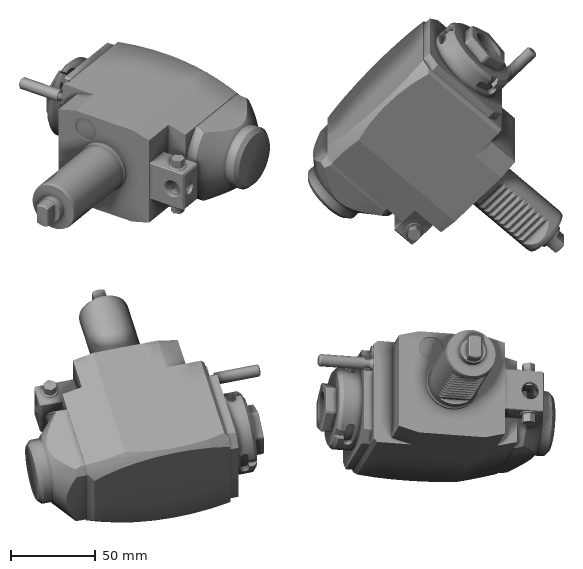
import cadquery as cq
import math


TOTAL_LENGTH = 152

HEIGHT = 64.0
HALF_HEIGHT = HEIGHT / 2
FRONT_X = -42.9
REAR_X = 44.0
BACK_Y = 30.0
SHOULDER_Y = -33.7
FLANGE_Y = -55.0
FLANGE_HALF_WIDTH = 32.0
BEVEL_ANGLE = 15
BEVEL_START_X = 19.9
FRONT_CHAMFER = 2.1
REAR_CHAMFER = 3.6
CROWN_RADIUS = 42.4
CROWN_CENTRE_X = -10.3
CROWN_ARC_RADIUS = 179.4
RECESS_X = -12.6
RECESS_Z = 21.6
RECESS_RADIUS = 7.5
RECESS_DEPTH = 0.9

CAP_RADIUS = 33.3
CAP_TOP_Y = BACK_Y - REAR_CHAMFER
CAP_STEP_X = 46.2
CAP_CONE_X = 50.2
CAP_CONE_END_X = 61.7
NOSE_START_X = 63.0
NOSE_RADIUS = 19.3
NOSE_END_X = 71.0
NOSE_CHAMFER = 2.5

PLATE_FRONT_X = -48.0
PLATE_HALF = 29.5
PLATE_CHAMFER = 6.7
NOTCH_Y = -23.7
NOTCH_Z = 14.1
NOTCH_FILLET = 4.5
NUT_FRONT_X = -61.3
NUT_RADIUS = 24.5
NUT_CHAMFER = 2.1
SLOT_X = -53.2
SLOT_WIDTH = 5.5
SLOT_LENGTH = 16.1
SLOT_FLOOR_RADIUS = 21.0
KEYWAY_WIDTH = 6.0
KEYWAY_FLOOR_RADIUS = 21.3
KEYWAY_ANGLES = (0, 120, 240)
HEX_FRONT_X = -67.6
HEX_ACROSS_FLATS = 26.8
HEX_CORNER_RADIUS = 15.0
HEX_CHAMFER = 0.3
BORE_RADIUS = 9.3
BORE_DEPTH = 5.8
BORE_CHAMFER = 0.3

PIN_Y = -28.5
PIN_Z = 19.0
PIN_RADIUS = 3.6
PIN_TIP_X = -75.4
PIN_CHAMFER = 0.9
PIN_BACK_X = -48.0
PIN_NECK_RADIUS = 2.5
PIN_NECK_END_X = -44.4
SCREW_Z = 26.1
SCREW_RADIUS = 4.0
SCREW_FRONT_X = -43.6
SCREW_SOCKET_RADIUS = 1.4

COLLAR_RADIUS = 16.0
COLLAR_LENGTH = 1.4
COLLAR_TAPER_END = 2.1
SHANK_RADIUS = 15.0
SHANK_LENGTH = 55.0
SHANK_CHAMFER_LENGTH = 1.8
SHANK_CHAMFER_DEPTH = 0.5
STUB_RADIUS = 7.6
STUB_LENGTH = 4.5
TIP_Y = BACK_Y - TOTAL_LENGTH
TANG_RADIUS = 7.1
TANG_THICKNESS = 7.9
TANG_CHAMFER = 0.6
TANG_FILLET = 0.8

TOOTH_PITCH = 4.0
TOOTH_COUNT = 10
TOOTH_DEPTH = 1.7
TOOTH_FLAT = 0.8
TOOTH_TIP_Z = -12.2
FIRST_VALLEY = 11.2
SERRATION_START = 6.8

BLOCK_END_X = 56.2
BLOCK_HALF_HEIGHT = 12.6
BLOCK_TOP_Y = -38.8
BLOCK_BOTTOM_Y = -54.1
BLOCK_END_CHAMFER = 0.9
BLOCK_EDGE_CHAMFER = 0.5
PORT_X = 48.0
PORT_RADIUS = 5.2
PORT_CHAMFER = 0.5
CROSS_BORE_RADIUS = 3.8
BOLT_TIP_Z = 4.4
BOLT_Y = -48.2
BOLT_WASHER_RADIUS = 5.2
BOLT_WASHER_THICKNESS = 0.8
BOLT_WASHER_CHAMFER = 0.5
BOLT_ACROSS_FLATS = 7.1
BOLT_CORNER_RADIUS = 4.0
BOLT_END_Z = 18.4

OVERLAP = 1.5
BIG = 152


def bevel_z(x):
    """Half height of the bevelled faces at x."""
    return HALF_HEIGHT - (x - BEVEL_START_X) * math.tan(math.radians(BEVEL_ANGLE))


def box(x_range, y_range, z_range):
    sizes = [high - low for low, high in (x_range, y_range, z_range)]
    corner = (x_range[0], y_range[0], z_range[0])
    return cq.Workplane("XY").box(*sizes, centered=False).translate(corner)


def rod_x(radius, start, end, y=0, z=0):
    return cq.Workplane("YZ", origin=(start, y, z)).circle(radius).extrude(end - start)


def turned_x(points, y=0, z=0):
    """Solid turned about an axis along X from (x, radius) points."""
    outline = [(points[0][0], 0)] + points + [(points[-1][0], 0)]
    turned = cq.Workplane("XY").polyline(outline).close().revolve(360, (0, 0, 0), (1, 0, 0))
    return turned.translate((0, y, z))


def extruded_y(outline, low, high):
    """Prism along Y over an outline of (x, z) points."""
    return cq.Workplane("XZ", origin=(0, high, 0)).polyline(outline).close().extrude(high - low)


def mirrored_outline(upper):
    return upper + [(x, -z) for x, z in reversed(upper)]


def trimmed_hexagon(across_flats, corner_radius, height):
    """Hexagonal prism along Z with its turned-off corners starting on the X axis."""
    corner_diameter = across_flats / math.cos(math.radians(30))
    prism = cq.Workplane("XY").polygon(6, corner_diameter).extrude(height)
    return prism.intersect(cq.Workplane("XY").circle(corner_radius).extrude(height))


def crown():
    """Barrel-shaped envelope that rounds the back edges of the housing."""
    def radius(x):
        drop = CROWN_ARC_RADIUS - math.sqrt(CROWN_ARC_RADIUS**2 - (x - CROWN_CENTRE_X) ** 2)
        return CROWN_RADIUS - drop

    profile = (
        cq.Workplane("XY")
        .moveTo(FRONT_X, 0)
        .lineTo(FRONT_X, radius(FRONT_X))
        .threePointArc((CROWN_CENTRE_X, CROWN_RADIUS), (REAR_X, radius(REAR_X)))
        .lineTo(REAR_X, 0)
        .close()
    )
    return profile.revolve(360, (0, 0, 0), (1, 0, 0))


def housing():
    body_outline = mirrored_outline([
        (FRONT_X, HALF_HEIGHT - FRONT_CHAMFER),
        (FRONT_X + FRONT_CHAMFER, HALF_HEIGHT),
        (BEVEL_START_X, HALF_HEIGHT),
        (REAR_X, bevel_z(REAR_X)),
    ])
    back = extruded_y(body_outline, 0, BACK_Y)
    back = back.faces(">X").edges(">Y").chamfer(REAR_CHAMFER)
    body = back.intersect(crown()).union(extruded_y(body_outline, SHOULDER_Y, 0))

    edge_z = bevel_z(FLANGE_HALF_WIDTH)
    flange_outline = mirrored_outline([
        (-FLANGE_HALF_WIDTH, edge_z),
        (-BEVEL_START_X, HALF_HEIGHT),
        (BEVEL_START_X, HALF_HEIGHT),
        (FLANGE_HALF_WIDTH, edge_z),
    ])
    body = body.union(extruded_y(flange_outline, FLANGE_Y, SHOULDER_Y))
    recess = cq.Workplane("XZ", origin=(RECESS_X, FLANGE_Y + RECESS_DEPTH, RECESS_Z)).circle(RECESS_RADIUS)
    return body.cut(recess.extrude(RECESS_DEPTH))


def rear_cap():
    cone_end_radius = bevel_z(CAP_CONE_END_X)
    turned = turned_x([
        (REAR_X - OVERLAP, CAP_RADIUS),
        (CAP_CONE_X, CAP_RADIUS),
        (CAP_CONE_END_X, cone_end_radius),
        (NOSE_START_X, NOSE_RADIUS),
        (NOSE_END_X - NOSE_CHAMFER, NOSE_RADIUS),
        (NOSE_END_X, NOSE_RADIUS - NOSE_CHAMFER),
    ])
    flat_z = bevel_z(CAP_STEP_X)
    envelope = mirrored_outline([
        (REAR_X - OVERLAP, flat_z),
        (CAP_STEP_X, flat_z),
        (NOSE_START_X, bevel_z(NOSE_START_X)),
        (NOSE_END_X, bevel_z(NOSE_START_X)),
    ])
    return turned.intersect(extruded_y(envelope, -BIG, CAP_TOP_Y))


def front_plate():
    x_range = (PLATE_FRONT_X, FRONT_X + OVERLAP)
    side = (-PLATE_HALF, PLATE_HALF)
    plate = box(x_range, side, side).edges("|X").chamfer(PLATE_CHAMFER)
    notch = box((PLATE_FRONT_X - OVERLAP, FRONT_X), (-BIG, NOTCH_Y), (NOTCH_Z, BIG))
    return plate.cut(notch.edges("|X").edges(">Y and <Z").fillet(NOTCH_FILLET))


def nut():
    """Round nut with wrench slots that open to the front through keyways."""
    body = turned_x([
        (NUT_FRONT_X, NUT_RADIUS - NUT_CHAMFER),
        (NUT_FRONT_X + NUT_CHAMFER, NUT_RADIUS),
        (PLATE_FRONT_X + OVERLAP, NUT_RADIUS),
    ])
    core = rod_x(SLOT_FLOOR_RADIUS, NUT_FRONT_X, PLATE_FRONT_X)
    slot = cq.Workplane("XZ").center(SLOT_X, 0).slot2D(SLOT_LENGTH, SLOT_WIDTH, 90)
    slot = slot.extrude(-BIG).cut(core)
    half_keyway = KEYWAY_WIDTH / 2
    keyway = box(
        (NUT_FRONT_X, SLOT_X - SLOT_WIDTH / 2),
        (KEYWAY_FLOOR_RADIUS, NUT_RADIUS + OVERLAP),
        (-half_keyway, half_keyway),
    )
    for angle in KEYWAY_ANGLES:
        body = body.cut(slot.union(keyway).rotate((0, 0, 0), (1, 0, 0), angle))
    return body


def hexagon():
    length = NUT_FRONT_X + OVERLAP - HEX_FRONT_X
    prism = trimmed_hexagon(HEX_ACROSS_FLATS, HEX_CORNER_RADIUS, length)
    prism = prism.rotate((0, 0, 0), (0, 1, 0), 90).translate((HEX_FRONT_X, 0, 0))
    return prism.faces("<X").chamfer(HEX_CHAMFER)


def hexagon_bore():
    return turned_x([
        (HEX_FRONT_X, BORE_RADIUS + BORE_CHAMFER),
        (HEX_FRONT_X + BORE_CHAMFER, BORE_RADIUS),
        (HEX_FRONT_X + BORE_DEPTH, BORE_RADIUS),
    ])


def pin():
    return turned_x([
        (PIN_TIP_X, PIN_RADIUS - PIN_CHAMFER),
        (PIN_TIP_X + PIN_CHAMFER, PIN_RADIUS),
        (PIN_BACK_X, PIN_RADIUS),
        (PIN_BACK_X, PIN_NECK_RADIUS),
        (PIN_NECK_END_X, PIN_NECK_RADIUS),
        (FRONT_X, PIN_RADIUS),
        (FRONT_X + OVERLAP, PIN_RADIUS),
    ], PIN_Y, PIN_Z)


def pin_screw():
    head = rod_x(SCREW_RADIUS, SCREW_FRONT_X, FRONT_X + OVERLAP, PIN_Y, SCREW_Z)
    return head.cut(rod_x(SCREW_SOCKET_RADIUS, SCREW_FRONT_X, FRONT_X, PIN_Y, SCREW_Z))


def shank():
    end_y = FLANGE_Y - SHANK_LENGTH
    stub_y = end_y - STUB_LENGTH
    outline = [
        (0, FLANGE_Y + OVERLAP),
        (COLLAR_RADIUS, FLANGE_Y + OVERLAP),
        (COLLAR_RADIUS, FLANGE_Y - COLLAR_LENGTH),
        (SHANK_RADIUS, FLANGE_Y - COLLAR_TAPER_END),
        (SHANK_RADIUS, end_y + SHANK_CHAMFER_LENGTH),
        (SHANK_RADIUS - SHANK_CHAMFER_DEPTH, end_y),
        (STUB_RADIUS, end_y),
        (STUB_RADIUS, stub_y),
        (0, stub_y),
    ]
    turned = cq.Workplane("XY").polyline(outline).close().revolve(360, (0, 0, 0), (0, 1, 0))
    half_tang = TANG_THICKNESS / 2
    tang = (
        cq.Workplane("XY", origin=(0, stub_y, 0))
        .moveTo(half_tang + TANG_FILLET, OVERLAP)
        .lineTo(half_tang + TANG_FILLET, 0)
        .radiusArc((half_tang, -TANG_FILLET), -TANG_FILLET)
        .lineTo(half_tang, TIP_Y - stub_y)
        .lineTo(0, TIP_Y - stub_y)
        .lineTo(0, OVERLAP)
        .close()
        .extrude(TANG_RADIUS, both=True)
    )
    tang = tang.union(tang.mirror("YZ"))
    bar = cq.Workplane("XZ", origin=(0, stub_y + OVERLAP, 0)).circle(TANG_RADIUS)
    tang = tang.intersect(bar.extrude(stub_y + OVERLAP - TIP_Y))
    return turned.cut(serrations()).union(tang.faces("<Y").chamfer(TANG_CHAMFER))


def serrations():
    """Cutter for the toothed recess along the underside of the shank."""
    valley_z = TOOTH_TIP_Z + TOOTH_DEPTH
    half_flat = TOOTH_FLAT / 2
    half_valley = TOOTH_PITCH / 2 - half_flat
    outline = [(SERRATION_START, -BIG), (SERRATION_START, TOOTH_TIP_Z)]
    for index in range(TOOTH_COUNT):
        centre = FIRST_VALLEY + index * TOOTH_PITCH
        outline += [
            (centre - half_valley, TOOTH_TIP_Z),
            (centre - half_flat, valley_z),
            (centre + half_flat, valley_z),
        ]
        if index < TOOTH_COUNT - 1:
            outline.append((centre + half_valley, TOOTH_TIP_Z))
    last_valley_end = outline[-1][0]
    outline.append((last_valley_end + valley_z + BIG, -BIG))
    points = [(FLANGE_Y - distance, z) for distance, z in outline]
    return cq.Workplane("YZ").polyline(points).close().extrude(BIG, both=True)


def coolant_block():
    """Block with crossing bores, closed above and below by hexagon bolts."""
    block = box(
        (FLANGE_HALF_WIDTH - OVERLAP, BLOCK_END_X),
        (BLOCK_BOTTOM_Y, BLOCK_TOP_Y),
        (-BLOCK_HALF_HEIGHT, BLOCK_HALF_HEIGHT),
    )
    chamfered_end = block.faces(">X").chamfer(BLOCK_END_CHAMFER)
    block = block.edges("|X").chamfer(BLOCK_EDGE_CHAMFER).intersect(chamfered_end)
    port = cq.Workplane("XZ", origin=(PORT_X, BLOCK_TOP_Y, 0)).circle(PORT_RADIUS)
    block = block.cut(port.extrude(BLOCK_TOP_Y - BLOCK_BOTTOM_Y))
    block = block.faces("<Y").edges("%CIRCLE").chamfer(PORT_CHAMFER)
    bolt_bore = cq.Workplane("XY", origin=(PORT_X, BOLT_Y, 0)).circle(CROSS_BORE_RADIUS)
    block = block.cut(bolt_bore.extrude(BOLT_TIP_Z, both=True))
    block = block.cut(rod_x(CROSS_BORE_RADIUS, PORT_X, BLOCK_END_X, BOLT_Y))
    washer = cq.Workplane("XY").circle(BOLT_WASHER_RADIUS).extrude(OVERLAP + BOLT_WASHER_THICKNESS)
    washer = washer.faces(">Z").chamfer(BOLT_WASHER_CHAMFER)
    head_height = BOLT_END_Z - BLOCK_HALF_HEIGHT + OVERLAP
    head = trimmed_hexagon(BOLT_ACROSS_FLATS, BOLT_CORNER_RADIUS, head_height)
    bolt = washer.union(head.rotate((0, 0, 0), (0, 0, 1), 90))
    bolt = bolt.translate((PORT_X, BOLT_Y, BLOCK_HALF_HEIGHT - OVERLAP))
    shaft = cq.Workplane("XY", origin=(PORT_X, BOLT_Y, BOLT_TIP_Z)).circle(CROSS_BORE_RADIUS)
    bolt = bolt.union(shaft.extrude(BLOCK_HALF_HEIGHT - BOLT_TIP_Z))
    return block.union(bolt).union(bolt.mirror("XY"))


result = housing()
for feature in (rear_cap, front_plate, nut, hexagon, pin, pin_screw, shank, coolant_block):
    result = result.union(feature())
result = result.cut(hexagon_bore())